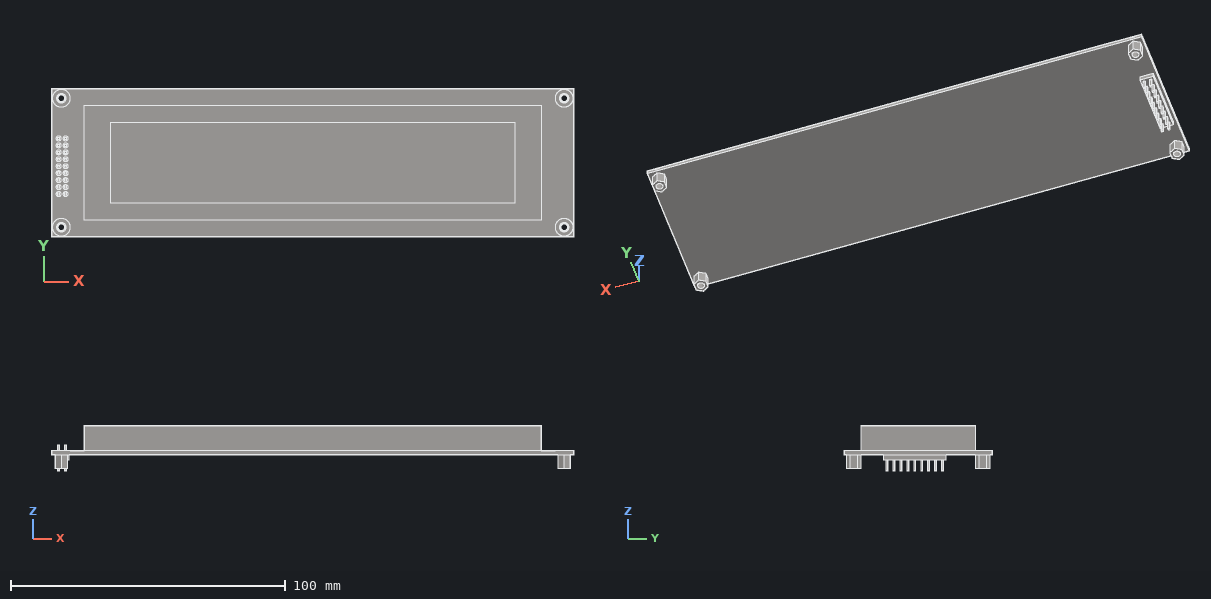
import cadquery as cq

board_length = 190.0
board_width = 54.0
total_height = 16.5
board_thickness = 1.6

frame_height = 9.1
frame_length = 166.5
frame_width = 41.8
window_length = 147.0
window_width = 29.3
window_depth = 0.2

pad_height = 0.1

mount_spacing_x = 183.0
mount_spacing_y = 47.0
mount_pad_diameter = 6.5
mount_hole_diameter = 3.5
standoff_across_vertices = 5.3
standoff_length = 5.0
standoff_bore_diameter = 2.5

header_inset = 3.8
pin_rows = 9
pin_columns = 2
header_body_length = 22.8
pin_pitch = header_body_length / pin_rows
pin_side = 0.7
pin_rise = 2.0
pin_pad_diameter = 1.8
header_body_height = 1.9

board_top = board_thickness
frame_top = board_top + frame_height
pin_top = board_top + pin_rise
pin_bottom = frame_top - total_height

header_x = header_inset - board_length / 2
header_y = -pin_pitch / 2

mount_points = [
    (side_x * mount_spacing_x / 2, side_y * mount_spacing_y / 2)
    for side_x in (-1, 1)
    for side_y in (-1, 1)
]
pin_points = [
    (
        header_x + (column - (pin_columns - 1) / 2) * pin_pitch,
        header_y + (row - (pin_rows - 1) / 2) * pin_pitch,
    )
    for column in range(pin_columns)
    for row in range(pin_rows)
]


def block(length, width, bottom, top, center=(0, 0)):
    """Upright box between two heights."""
    return cq.Workplane("XY", origin=(*center, bottom)).rect(length, width).extrude(top - bottom)


def discs(points, diameter, bottom, top):
    """Upright cylinders at the given points between two heights."""
    return cq.Workplane("XY", origin=(0, 0, bottom)).pushPoints(points).circle(diameter / 2).extrude(top - bottom)


def make_board():
    """Circuit board with raised pads on its upper face and drilled corners."""
    board = block(board_length, board_width, 0, board_top)
    pad_top = board_top + pad_height
    board = board.union(discs(mount_points, mount_pad_diameter, 0, pad_top))
    board = board.union(discs(pin_points, pin_pad_diameter, 0, pad_top))
    return board.cut(discs(mount_points, mount_hole_diameter, 0, pad_top))


def make_frame():
    """Display frame with the recessed window."""
    frame = block(frame_length, frame_width, board_top, frame_top)
    return frame.cut(block(window_length, window_width, frame_top - window_depth, frame_top))


def make_standoffs():
    """Bored hexagonal standoffs below the corners, flats facing along X."""
    profile = cq.Sketch().regularPolygon(standoff_across_vertices / 2, 6)
    standoffs = cq.Workplane("XY").pushPoints(mount_points).placeSketch(profile).extrude(-standoff_length)
    return standoffs.cut(discs(mount_points, standoff_bore_diameter, -standoff_length, 0))


def make_header():
    """Header body under the board with square pins passing through."""
    body = block(
        pin_columns * pin_pitch, header_body_length, -header_body_height, 0, (header_x, header_y)
    )
    pins = (
        cq.Workplane("XY", origin=(0, 0, pin_bottom))
        .pushPoints(pin_points)
        .rect(pin_side, pin_side)
        .extrude(pin_top - pin_bottom)
    )
    return body.union(pins)


result = make_board().union(make_frame()).union(make_standoffs()).union(make_header())